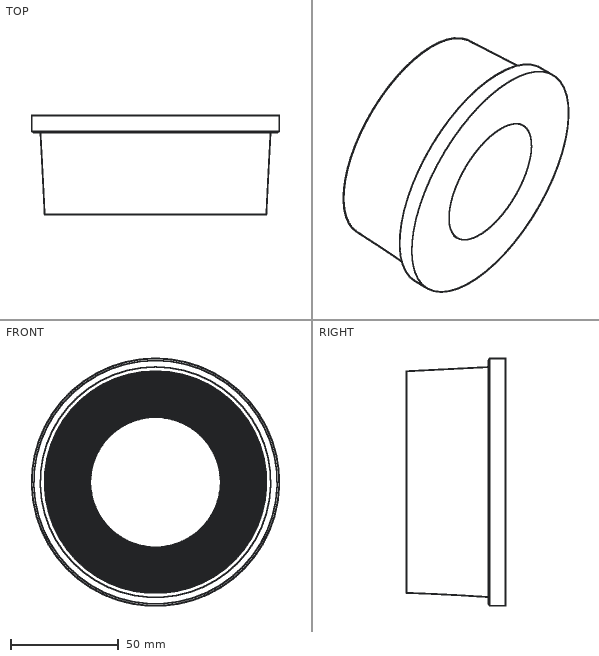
import cadquery as cq

flange_diameter = 115.0
overall_length = 46.0
flange_thickness = 7.9
flange_chamfer_radial = 1.0
flange_chamfer_axial = 0.6
body_root_diameter = 107.0
body_tip_diameter = 103.0

mouth_diameter = 61.9
mouth_depth = 5.2
bore_diameter = 60.5
lead_length = 0.7

inner_groove_offset = 0.59
groove_count = 26
groove_pitch = 0.77
groove_width = 0.6
groove_depth = 0.25
first_groove_radius = mouth_diameter / 2 + inner_groove_offset

disc_thickness = 4.6

inlet_y = -overall_length / 2
outlet_y = overall_length / 2
flange_front_y = outlet_y - flange_thickness
disc_front_y = inlet_y + mouth_depth + lead_length


def add_gasket_grooves(profile):
    """Continue the inlet-face edge outward, dipping in an arc at every groove."""
    for index in range(groove_count):
        centre = first_groove_radius + index * groove_pitch
        profile = profile.lineTo(centre - groove_width / 2, inlet_y)
        profile = profile.threePointArc(
            (centre, inlet_y + groove_depth), (centre + groove_width / 2, inlet_y)
        )
    return profile


def make_housing():
    """Revolve the half section (radius along Z, height along Y) of the flanged, tapered housing."""
    flange_radius = flange_diameter / 2
    mouth_radius = mouth_diameter / 2
    bore_radius = bore_diameter / 2
    profile = (
        cq.Workplane("ZY")
        .moveTo(bore_radius, outlet_y)
        .lineTo(bore_radius, disc_front_y)
        .lineTo(mouth_radius, inlet_y + mouth_depth)
        .lineTo(mouth_radius, inlet_y)
    )
    profile = (
        add_gasket_grooves(profile)
        .lineTo(body_tip_diameter / 2, inlet_y)
        .lineTo(body_root_diameter / 2, flange_front_y)
        .lineTo(flange_radius - flange_chamfer_radial, flange_front_y)
        .lineTo(flange_radius, flange_front_y + flange_chamfer_axial)
        .lineTo(flange_radius, outlet_y)
        .close()
    )
    return profile.revolve(360, (0, 0, 0), (0, 1, 0))


def make_disc():
    """Flat round disc that closes the bore."""
    return (
        cq.Workplane("XZ", origin=(0, disc_front_y, 0))
        .circle(bore_diameter / 2)
        .extrude(-disc_thickness)
    )


housing = make_housing()
disc = make_disc()

result = cq.Compound.makeCompound([housing.val(), disc.val()])